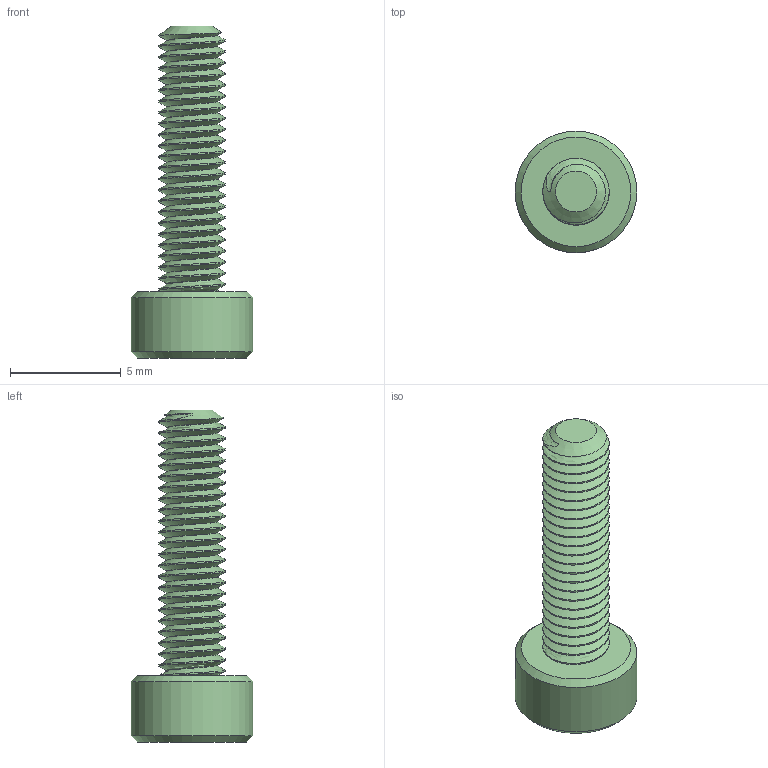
import cadquery as cq
import math

HEAD_DIAMETER = 5.5
HEAD_HEIGHT = 3.0
HEAD_CHAMFER = 0.275

THREAD_DIAMETER = 3.0
SHANK_LENGTH = 12.0
TIP_DIAMETER = 1.85
TIP_ANGLE = 36.0

PITCH = 0.5
GROOVE_DEPTH = 0.36
ROOT_WIDTH = 0.03
CREST_WIDTH = PITCH / 8
OVERCUT = 0.3
THREAD_TURNS = 24.3
GROOVE_END_BELOW_TIP = 0.16

HEAD_RADIUS = HEAD_DIAMETER / 2
THREAD_RADIUS = THREAD_DIAMETER / 2
TIP_RADIUS = TIP_DIAMETER / 2
TOTAL_LENGTH = HEAD_HEIGHT + SHANK_LENGTH


def make_head():
    """Cylindrical head standing on Z = 0, chamfered on both rims."""
    return cq.Workplane("XY").circle(HEAD_RADIUS).extrude(HEAD_HEIGHT).edges().chamfer(HEAD_CHAMFER)


def make_shank():
    """Plain shank with its conical tip, standing on the head."""
    cone_height = (THREAD_RADIUS - TIP_RADIUS) * math.tan(math.radians(TIP_ANGLE))
    return (
        cq.Workplane("XZ")
        .moveTo(0, HEAD_HEIGHT)
        .lineTo(THREAD_RADIUS, HEAD_HEIGHT)
        .lineTo(THREAD_RADIUS, TOTAL_LENGTH - cone_height)
        .lineTo(TIP_RADIUS, TOTAL_LENGTH)
        .lineTo(0, TOTAL_LENGTH)
        .close()
        .revolve(360, (0, 0, 0), (0, 1, 0))
    )


def make_thread_groove():
    """Helical cutter with a V profile, ending on the -X side of the tip."""
    helix_height = THREAD_TURNS * PITCH
    helix_start = TOTAL_LENGTH - GROOVE_END_BELOW_TIP - helix_height
    root_radius = THREAD_RADIUS - GROOVE_DEPTH
    half_root = ROOT_WIDTH / 2
    half_mouth = (PITCH - CREST_WIDTH) / 2
    helix = cq.Wire.makeHelix(PITCH, helix_height, THREAD_RADIUS)
    cutter = (
        cq.Workplane("XZ")
        .moveTo(root_radius, -half_root)
        .lineTo(THREAD_RADIUS, -half_mouth)
        .lineTo(THREAD_RADIUS + OVERCUT, -half_mouth)
        .lineTo(THREAD_RADIUS + OVERCUT, half_mouth)
        .lineTo(THREAD_RADIUS, half_mouth)
        .lineTo(root_radius, half_root)
        .close()
        .sweep(cq.Workplane(helix), isFrenet=True)
    )
    start_angle = 180 - 360 * THREAD_TURNS
    return cutter.rotate((0, 0, 0), (0, 0, 1), start_angle).translate((0, 0, helix_start))


result = make_shank().cut(make_thread_groove()).union(make_head())